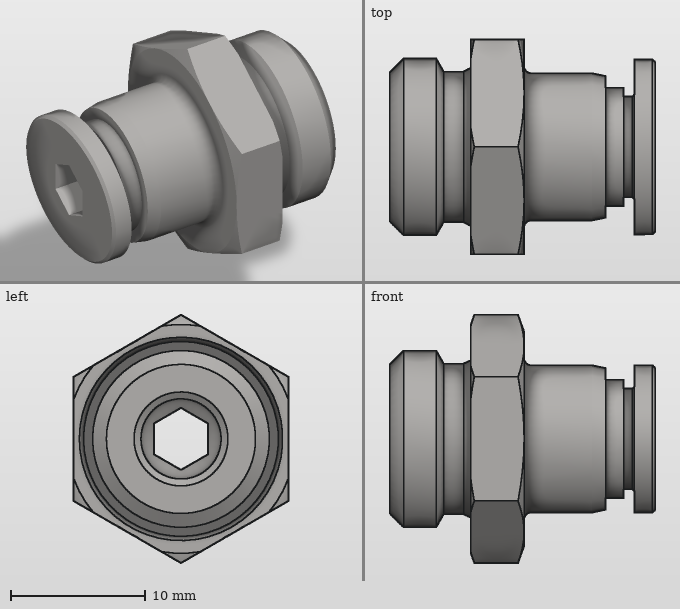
import cadquery as cq
import math

length = 19.75
nut_front = 6.02
nut_back = 10.0
body_end = 16.05
collar_end = 17.4
flange_front = 18.19

thread_radius = 6.58
thread_chamfer = 1.03
thread_end = 3.45
neck_radius = 5.6
neck_start = 4.0
neck_end = 5.5

nut_flats = 16.0
nut_chamfer_angle = math.radians(20)
nut_front_face_radius = 8.51
nut_back_face_radius = nut_flats / 2
recess_depth = 0.87
recess_mouth_radius = 7.56
recess_floor_radius = 7.25
neck_flare_radius = 6.34

body_radius = 5.5
body_fillet = 0.51
body_taper_length = 1.03
body_end_radius = 5.27
collar_radius = 4.4
stem_radius = 3.75
stem_flare = 0.14

flange_half_width = 6.52
flange_half_height = 5.5
flange_chamfer = 0.22

bore_radius = 2.98
bore_chamfer = 0.51
bore_depth = 1.03
drill_tip_half_angle = math.radians(60)
socket_flats = 3.99


def corner_radius(flats):
    """Distance from the centre of a regular hexagon to its corners."""
    return flats / math.sqrt(3)


def revolve_about_x(profile):
    """Revolve an XY profile a full turn about the X axis."""
    return profile.close().revolve(360, (0, 0, 0), (1, 0, 0))


def hex_prism(flats, start, end):
    """Hexagonal bar along X with two corners on the Z axis."""
    corner = corner_radius(flats)
    points = []
    for i in range(6):
        angle = math.radians(90 + 60 * i)
        points.append((corner * math.cos(angle), corner * math.sin(angle)))
    return cq.Workplane("YZ", origin=(start, 0, 0)).polyline(points).close().extrude(end - start)


def make_nut():
    corner = corner_radius(nut_flats)
    slope = math.tan(nut_chamfer_angle)
    front_chamfer = (corner - nut_front_face_radius) * slope
    back_chamfer = (corner - nut_back_face_radius) * slope
    envelope = revolve_about_x(
        cq.Workplane("XY")
        .moveTo(nut_front, 0)
        .lineTo(nut_front, nut_front_face_radius)
        .lineTo(nut_front + front_chamfer, corner)
        .lineTo(nut_back - back_chamfer, corner)
        .lineTo(nut_back, nut_back_face_radius)
        .lineTo(nut_back, 0)
    )
    recess = revolve_about_x(
        cq.Workplane("XY")
        .moveTo(nut_front, 0)
        .lineTo(nut_front, recess_mouth_radius)
        .lineTo(nut_front + recess_depth, recess_floor_radius)
        .lineTo(nut_front + recess_depth, 0)
    )
    return hex_prism(nut_flats, nut_front, nut_back).intersect(envelope).cut(recess)


def make_turned_body():
    recess_floor = nut_front + recess_depth
    return revolve_about_x(
        cq.Workplane("XY")
        .lineTo(0, thread_radius - thread_chamfer)
        .lineTo(thread_chamfer, thread_radius)
        .lineTo(thread_end, thread_radius)
        .lineTo(neck_start, neck_radius)
        .lineTo(neck_end, neck_radius)
        .lineTo(recess_floor, neck_flare_radius)
        .lineTo(nut_back, neck_flare_radius)
        .lineTo(nut_back, body_radius + body_fillet)
        .radiusArc((nut_back + body_fillet, body_radius), -body_fillet)
        .lineTo(body_end - body_taper_length, body_radius)
        .lineTo(body_end, body_end_radius)
        .lineTo(body_end, collar_radius)
        .lineTo(collar_end, collar_radius)
        .lineTo(collar_end, stem_radius)
        .lineTo(flange_front - stem_flare, stem_radius)
        .lineTo(flange_front, stem_radius + stem_flare)
        .lineTo(flange_front, 0)
    )


def make_flange():
    return (
        cq.Workplane("YZ", origin=(flange_front, 0, 0))
        .ellipse(flange_half_width, flange_half_height)
        .extrude(length - flange_front)
        .faces(">X")
        .chamfer(flange_chamfer)
    )


def make_bore():
    tip_depth = bore_radius / math.tan(drill_tip_half_angle)
    drilled = revolve_about_x(
        cq.Workplane("XY")
        .lineTo(0, bore_radius + bore_chamfer)
        .lineTo(bore_chamfer, bore_radius)
        .lineTo(bore_depth, bore_radius)
        .lineTo(bore_depth + tip_depth, 0)
    )
    return drilled.union(hex_prism(socket_flats, 0, length))


result = make_turned_body().union(make_nut()).union(make_flange()).cut(make_bore())